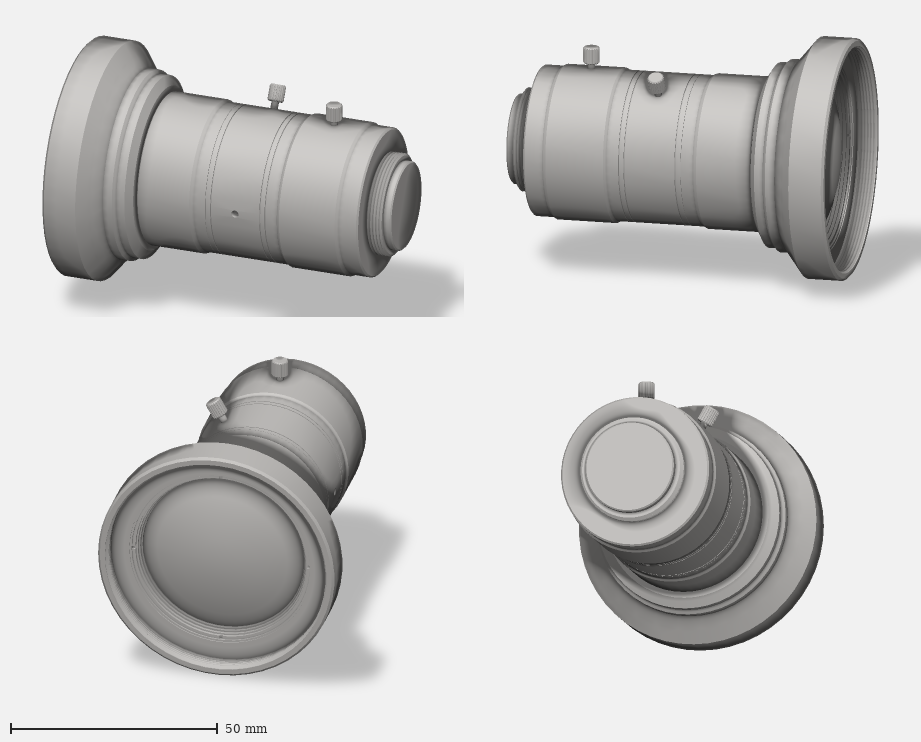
import cadquery as cq
import math

LENGTH = 83.3

HOOD_RADIUS = 29.5
HOOD_RIM_CHAMFER = 0.6
HOOD_CONE_X = 8.7
HOOD_BACK_X = 13.6
HOOD_BACK_RADIUS = 23.5
HOOD_POCKET_RADIUS = 27.25
HOOD_FLOOR_X = 4.8
HOOD_BORE_RADIUS = 22.75
HOOD_THREAD_DEPTH = 0.4
HOOD_THREAD_PITCH = 0.75
HOOD_THREAD_TURNS = 5
HOOD_THREAD_START_X = 0.6

CELL_FRONT_X = 5.1
CELL_RECESS_RADIUS = 22.25
MOUTH_FRONT_X = 5.5
CELL_MOUTH_RADIUS = 21.4
MOUTH_STEPS = 4
CELL_COLLAR_END_X = 15.9
CELL_STEP_X = 16.75
CELL_STEP_RADIUS = 22.6
CELL_TAPER_X = 18.8
CELL_BACK_X = 20.25
CELL_BACK_RADIUS = 20.25
NECK_RADIUS = 14.8
SPANNER_SLOT_COUNT = 4
SPANNER_SLOT_WIDTH = 0.75
SPANNER_SLOT_DEPTH = 0.5

LENS_RADIUS = 20.2
LENS_EDGE_X = 8.5
LENS_BULGE = 5.0

RING_RADIUS = 18.9
BODY_RADIUS = 18.4
FOCUS_FRONT_X = 20.7
FOCUS_FRONT_CHAMFER = 0.25
FOCUS_RING_END_X = 34.2
FOCUS_STEP_X = 35.2
GROOVE_DEPTH = 0.25
FOCUS_GROOVE_X = 38.1
FOCUS_GROOVE_WIDTH = 0.1
LABEL_FRONT_X = 39.7
LABEL_BACK_X = 52.1
JOINT_GROOVE_WIDTH = 0.25
REAR_GROOVE_X = 53.4
IRIS_FRONT_X = 56.6
IRIS_SHOULDER_LENGTH = 0.75
IRIS_END_X = 71.7
IRIS_STEP_X = 72.6
REAR_END_X = 77.4
REAR_END_CHAMFER = 0.4

MOUNT_CREST_RADIUS = 12.7
MOUNT_ROOT_RADIUS = 12.2
MOUNT_THREAD_PITCH = 0.79
MOUNT_THREAD_TURNS = 5
MOUNT_END_RADIUS = 11.0
MOUNT_END_CHAMFER = 0.3

SCREW_RADIUS = 0.9
SCREW_DEPTH = 2.1
HEAD_GAP = 1.25
HEAD_BASE_RADIUS = RING_RADIUS + HEAD_GAP
HEAD_RADIUS = 2.0
HEAD_LENGTH = 4.2
HEAD_CHAMFER = 0.3
KNURL_COUNT = 20
KNURL_RADIUS = 0.2
FOCUS_SCREW_X = 45.8
FOCUS_SCREW_ANGLE = 30.0
OPEN_HOLE_ANGLE = -90.0
IRIS_SCREW_X = 64.7
IRIS_SCREW_ANGLE = 0.0


def revolve_profile(points):
    """Revolve a closed outline of (x, radius) points about the X axis."""
    return cq.Workplane("XY").polyline(points).close().revolve(360, (0, 0, 0), (1, 0, 0))


def radial_plane(x, angle, radius):
    """Plane at a radius from the axis, facing outward, turned from +Z toward +Y."""
    outward = (0, math.sin(math.radians(angle)), math.cos(math.radians(angle)))
    origin = (x, radius * outward[1], radius * outward[2])
    return cq.Plane(origin=origin, xDir=(1, 0, 0), normal=outward)


def thread_ridges(start_x, pitch, turns, root_radius, crest_radius):
    """Outline points of ring-shaped V threads, ending back at the root radius."""
    points = []
    for turn in range(turns):
        turn_x = start_x + turn * pitch
        points += [(turn_x, root_radius), (turn_x + pitch / 2, crest_radius)]
    points.append((start_x + turns * pitch, root_radius))
    return points


def screw_hole(x, angle, surface_radius):
    """Cutter for a blind radial screw hole that opens through the outer surface."""
    plane = radial_plane(x, angle, surface_radius - SCREW_DEPTH)
    return cq.Workplane(plane).circle(SCREW_RADIUS).extrude(2 * SCREW_DEPTH)


def make_hood():
    thread_radius = HOOD_POCKET_RADIUS + HOOD_THREAD_DEPTH
    thread = thread_ridges(
        HOOD_THREAD_START_X, HOOD_THREAD_PITCH, HOOD_THREAD_TURNS, HOOD_POCKET_RADIUS, thread_radius
    )
    return revolve_profile(
        [
            (HOOD_RIM_CHAMFER, HOOD_RADIUS),
            (0, HOOD_RADIUS - HOOD_RIM_CHAMFER),
            (0, thread_radius),
            (HOOD_THREAD_START_X - HOOD_THREAD_PITCH / 2, thread_radius),
            *thread,
            (HOOD_FLOOR_X, HOOD_POCKET_RADIUS),
            (HOOD_FLOOR_X, HOOD_BORE_RADIUS),
            (HOOD_BACK_X, HOOD_BORE_RADIUS),
            (HOOD_BACK_X, HOOD_BACK_RADIUS),
            (HOOD_CONE_X, HOOD_RADIUS),
        ]
    )


def make_front_cell():
    step_length = (LENS_EDGE_X - MOUTH_FRONT_X) / MOUTH_STEPS
    step_height = (CELL_MOUTH_RADIUS - LENS_RADIUS) / (MOUTH_STEPS - 1)
    mouth = []
    for step in range(MOUTH_STEPS):
        radius = CELL_MOUTH_RADIUS - step * step_height
        mouth += [
            (MOUTH_FRONT_X + step * step_length, radius),
            (MOUTH_FRONT_X + (step + 1) * step_length, radius),
        ]
    cell = revolve_profile(
        [
            (LENS_EDGE_X, 0),
            *reversed(mouth),
            (MOUTH_FRONT_X, CELL_RECESS_RADIUS),
            (CELL_FRONT_X, CELL_RECESS_RADIUS),
            (CELL_FRONT_X, HOOD_BORE_RADIUS),
            (HOOD_BACK_X, HOOD_BORE_RADIUS),
            (HOOD_BACK_X, HOOD_BACK_RADIUS),
            (CELL_COLLAR_END_X, HOOD_BACK_RADIUS),
            (CELL_STEP_X, CELL_STEP_RADIUS),
            (CELL_TAPER_X, CELL_STEP_RADIUS),
            (CELL_BACK_X, CELL_BACK_RADIUS),
            (CELL_BACK_X, NECK_RADIUS),
            (FOCUS_FRONT_X, NECK_RADIUS),
            (FOCUS_FRONT_X, 0),
        ]
    )
    slot_reach = CELL_RECESS_RADIUS - LENS_RADIUS
    slot = cq.Workplane("XY", origin=(MOUTH_FRONT_X, 0, LENS_RADIUS)).box(
        SPANNER_SLOT_DEPTH, SPANNER_SLOT_WIDTH, slot_reach, centered=(False, True, False)
    )
    for index in range(SPANNER_SLOT_COUNT):
        cell = cell.cut(slot.rotate((0, 0, 0), (1, 0, 0), index * 360 / SPANNER_SLOT_COUNT))
    return cell


def make_front_lens():
    sphere_radius = (LENS_RADIUS**2 + LENS_BULGE**2) / (2 * LENS_BULGE)
    front_x = LENS_EDGE_X - LENS_BULGE
    half_angle = math.asin(LENS_RADIUS / sphere_radius) / 2
    middle = (
        front_x + sphere_radius * (1 - math.cos(half_angle)),
        sphere_radius * math.sin(half_angle),
    )
    return (
        cq.Workplane("XY")
        .moveTo(front_x, 0)
        .threePointArc(middle, (LENS_EDGE_X, LENS_RADIUS))
        .lineTo(LENS_EDGE_X, 0)
        .close()
        .revolve(360, (0, 0, 0), (1, 0, 0))
    )


def make_focus_barrel():
    groove_radius = BODY_RADIUS - GROOVE_DEPTH
    return revolve_profile(
        [
            (FOCUS_FRONT_X, 0),
            (FOCUS_FRONT_X, RING_RADIUS - FOCUS_FRONT_CHAMFER),
            (FOCUS_FRONT_X + FOCUS_FRONT_CHAMFER, RING_RADIUS),
            (FOCUS_RING_END_X, RING_RADIUS),
            (FOCUS_STEP_X, BODY_RADIUS),
            (FOCUS_GROOVE_X, BODY_RADIUS),
            (FOCUS_GROOVE_X, groove_radius),
            (FOCUS_GROOVE_X + FOCUS_GROOVE_WIDTH, groove_radius),
            (FOCUS_GROOVE_X + FOCUS_GROOVE_WIDTH, BODY_RADIUS),
            (LABEL_FRONT_X - JOINT_GROOVE_WIDTH, BODY_RADIUS),
            (LABEL_FRONT_X - JOINT_GROOVE_WIDTH, groove_radius),
            (LABEL_FRONT_X, groove_radius),
            (LABEL_FRONT_X, 0),
        ]
    )


def make_label_barrel():
    barrel = revolve_profile(
        [
            (LABEL_FRONT_X, 0),
            (LABEL_FRONT_X, BODY_RADIUS),
            (LABEL_BACK_X, BODY_RADIUS),
            (LABEL_BACK_X, 0),
        ]
    )
    for angle in (FOCUS_SCREW_ANGLE, OPEN_HOLE_ANGLE):
        barrel = barrel.cut(screw_hole(FOCUS_SCREW_X, angle, BODY_RADIUS))
    return barrel


def make_rear_barrel():
    groove_radius = BODY_RADIUS - GROOVE_DEPTH
    thread = thread_ridges(
        REAR_END_X, MOUNT_THREAD_PITCH, MOUNT_THREAD_TURNS, MOUNT_ROOT_RADIUS, MOUNT_CREST_RADIUS
    )
    thread_end_x = REAR_END_X + MOUNT_THREAD_TURNS * MOUNT_THREAD_PITCH
    barrel = revolve_profile(
        [
            (LABEL_BACK_X, 0),
            (LABEL_BACK_X, groove_radius),
            (LABEL_BACK_X + JOINT_GROOVE_WIDTH, groove_radius),
            (LABEL_BACK_X + JOINT_GROOVE_WIDTH, BODY_RADIUS),
            (REAR_GROOVE_X, BODY_RADIUS),
            (REAR_GROOVE_X, groove_radius),
            (REAR_GROOVE_X + JOINT_GROOVE_WIDTH, groove_radius),
            (REAR_GROOVE_X + JOINT_GROOVE_WIDTH, BODY_RADIUS),
            (IRIS_FRONT_X, BODY_RADIUS),
            (IRIS_FRONT_X + IRIS_SHOULDER_LENGTH, RING_RADIUS),
            (IRIS_END_X, RING_RADIUS),
            (IRIS_STEP_X, BODY_RADIUS),
            (REAR_END_X - REAR_END_CHAMFER, BODY_RADIUS),
            (REAR_END_X, BODY_RADIUS - REAR_END_CHAMFER),
            *thread,
            (thread_end_x, MOUNT_END_RADIUS),
            (LENGTH - MOUNT_END_CHAMFER, MOUNT_END_RADIUS),
            (LENGTH, MOUNT_END_RADIUS - MOUNT_END_CHAMFER),
            (LENGTH, 0),
        ]
    )
    return barrel.cut(screw_hole(IRIS_SCREW_X, IRIS_SCREW_ANGLE, RING_RADIUS))


def make_locking_screw(x, angle, surface_radius):
    """Knurled-head screw whose shank fills its hole in a barrel."""
    shank_plane = radial_plane(x, angle, surface_radius - SCREW_DEPTH)
    shank = cq.Workplane(shank_plane).circle(SCREW_RADIUS).extrude(HEAD_BASE_RADIUS - surface_radius + SCREW_DEPTH)
    head_plane = radial_plane(x, angle, HEAD_BASE_RADIUS)
    head = cq.Workplane(head_plane).circle(HEAD_RADIUS).extrude(HEAD_LENGTH).edges().chamfer(HEAD_CHAMFER)
    knurls = (
        cq.Workplane(head_plane)
        .polarArray(HEAD_RADIUS, 0, 360, KNURL_COUNT)
        .circle(KNURL_RADIUS)
        .extrude(HEAD_LENGTH)
    )
    return shank.union(head.cut(knurls))


hood = make_hood()
front_cell = make_front_cell()
front_lens = make_front_lens()
focus_barrel = make_focus_barrel()
label_barrel = make_label_barrel()
rear_barrel = make_rear_barrel()

screw_places = (
    (FOCUS_SCREW_X, FOCUS_SCREW_ANGLE, BODY_RADIUS),
    (IRIS_SCREW_X, IRIS_SCREW_ANGLE, RING_RADIUS),
)
locking_screws = []
for x, angle, surface_radius in screw_places:
    locking_screws.append(make_locking_screw(x, angle, surface_radius).val())

result = cq.Compound.makeCompound(
    [
        hood.val(),
        front_cell.val(),
        front_lens.val(),
        focus_barrel.val(),
        label_barrel.val(),
        rear_barrel.val(),
        *locking_screws,
    ]
)